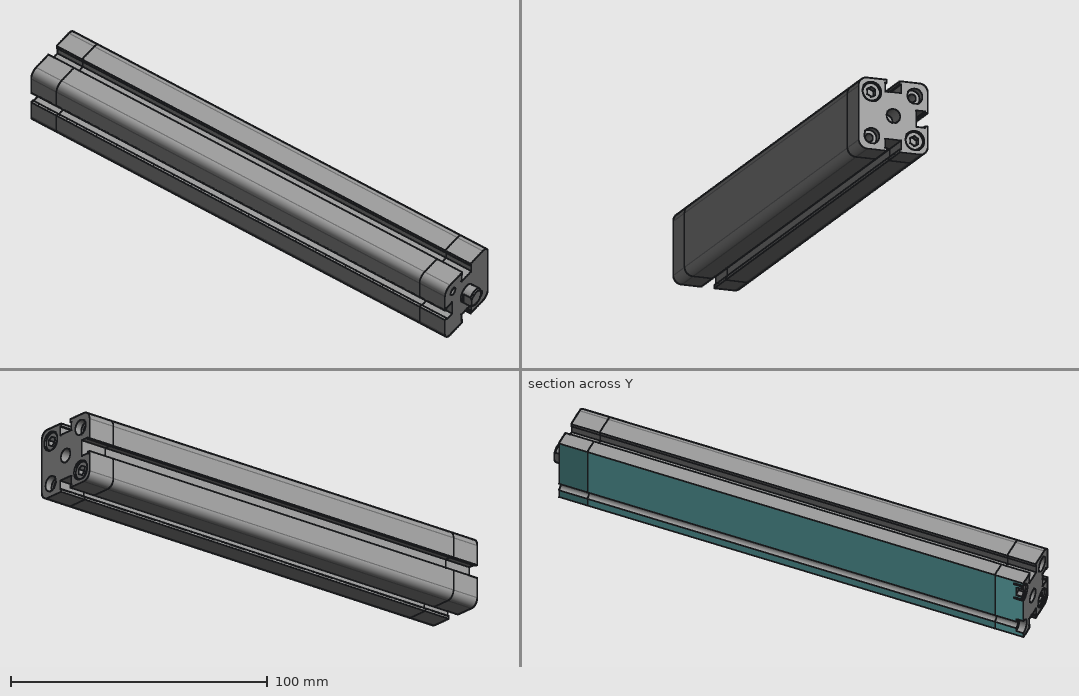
import cadquery as cq

total_length = 202.5
side = 29.0
body_length = 197.8
cap_length = 12.2
corner_radius = 3.5

slot_opening = 5.5
slot_width = 6.7
slot_lip = 1.2
slot_depth = 4.9
slot_angles = (0, 90, 180)

bore_spacing = 18.0
through_hole_diameter = 3.2
counterbore_diameter = 6.3
counterbore_depth = 3.0

screw_recess_diameter = 7.9
screw_head_diameter = 7.0
screw_recess_depth = 4.0
screw_head_setback = 0.6
socket_sides = 6
socket_across_corners = 4.0
socket_depth = 2.5
socket_turn = 90

port_diameter = 5.7
port_depth = 8.0

rod_diameter = 7.9
rod_across_flats = 6.0
rod_shoulder = 0.8
rod_chamfer = 0.6

half_side = side / 2
bore_offset = bore_spacing / 2
barrel_length = body_length - 2 * cap_length
front_cap_start = body_length - cap_length
through_corners = [(-bore_offset, bore_offset), (bore_offset, -bore_offset)]
screw_corners = [(bore_offset, bore_offset), (-bore_offset, -bore_offset)]


def section_plane(x):
    """Plane across the axis at x: local x runs along +Y, local y along +Z."""
    return cq.Workplane("YZ", origin=(x, 0, 0))


def slot_cutter(start, length, angle):
    """T-slot along X, open upwards, then turned about the axis by angle."""
    opening_height = half_side - slot_lip / 2
    pocket_height = slot_depth - slot_lip
    pocket_center = half_side - slot_lip - pocket_height / 2
    opening = section_plane(start).center(0, opening_height).rect(slot_opening, slot_lip).extrude(length)
    pocket = section_plane(start).center(0, pocket_center).rect(slot_width, pocket_height).extrude(length)
    return opening.union(pocket).rotate((0, 0, 0), (1, 0, 0), angle)


def profile_block(start, length):
    """Rounded square length of profile with its slots and two through holes."""
    block = section_plane(start).rect(side, side).extrude(length).edges("|X").fillet(corner_radius)
    for angle in slot_angles:
        block = block.cut(slot_cutter(start, length, angle))
    holes = section_plane(start).pushPoints(through_corners).circle(through_hole_diameter / 2).extrude(length)
    return block.cut(holes)


def round_bores(corners, diameter, depth):
    """Cutters for equal bores sunk into the -X end face."""
    return section_plane(0).pushPoints(corners).circle(diameter / 2).extrude(depth)


def screw_head(corner):
    """Round head standing in its recess, with a hexagon socket that has a corner towards +Z."""
    y, z = corner
    head_length = screw_recess_depth - screw_head_setback
    head_plane = section_plane(screw_head_setback)
    head = head_plane.circle(screw_head_diameter / 2).extrude(head_length)
    socket = head_plane.polygon(socket_sides, socket_across_corners).extrude(socket_depth)
    socket = socket.rotate((0, 0, 0), (1, 0, 0), socket_turn)
    return head.cut(socket).translate((0, y, z))


def make_end_cap():
    """Cap at the -X end with counterbores, screw heads and the port."""
    counterbores = round_bores(through_corners, counterbore_diameter, counterbore_depth)
    recesses = round_bores(screw_corners, screw_recess_diameter, screw_recess_depth)
    port = round_bores([(0, 0)], port_diameter, port_depth)
    cap = profile_block(0, cap_length).cut(counterbores).cut(recesses).cut(port)
    for corner in screw_corners:
        cap = cap.union(screw_head(corner))
    return cap


def make_barrel():
    """Plain profile between the caps."""
    return profile_block(cap_length, barrel_length)


def make_front_cap():
    """Cap at the +X end, bored for the rod."""
    rod_bore = section_plane(front_cap_start).circle(rod_diameter / 2).extrude(cap_length)
    return profile_block(front_cap_start, cap_length).cut(rod_bore)


def make_rod():
    """Rod through the front cap, with a chamfered tip and two flats facing -Y and +Y."""
    rod = (
        section_plane(front_cap_start)
        .circle(rod_diameter / 2)
        .extrude(total_length - front_cap_start)
        .faces(">X")
        .chamfer(rod_chamfer)
    )
    flats_start = body_length + rod_shoulder
    flats_length = total_length - flats_start
    flat_zone = section_plane(flats_start).rect(side, side).rect(rod_across_flats, side).extrude(flats_length)
    return rod.cut(flat_zone)


end_cap = make_end_cap()
barrel = make_barrel()
front_cap = make_front_cap()
rod = make_rod()

result = cq.Compound.makeCompound([end_cap.val(), barrel.val(), front_cap.val(), rod.val()])